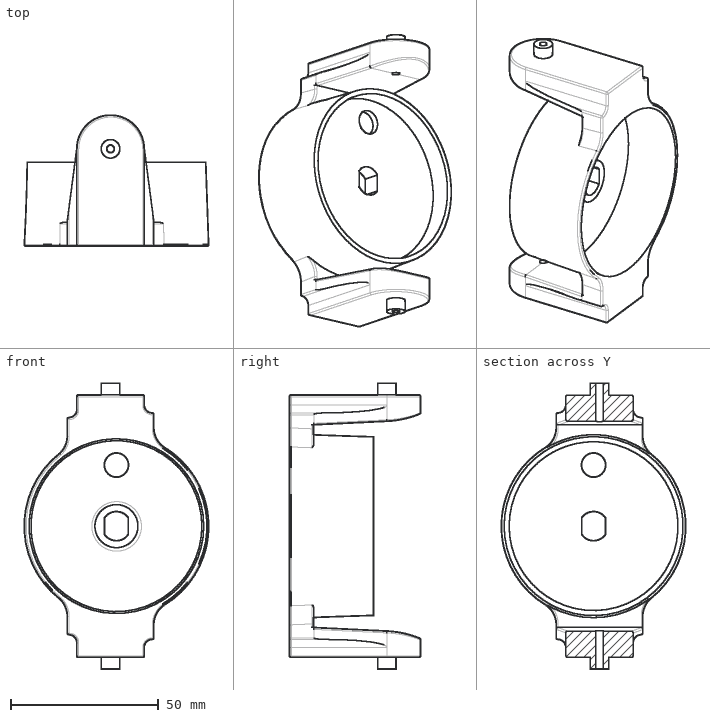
import cadquery as cq
import math

CUP_RIM_RADIUS = 31.3
CUP_DEPTH = 28.5
CUP_WALL = 1.7
CUP_FLOOR_Y = 18.5
CUP_FLOOR_THICKNESS = 2.4
DRAFT = math.tan(math.radians(2))
CUP_BACK_RADIUS = CUP_RIM_RADIUS - CUP_DEPTH * DRAFT

HUB_RADIUS = 7.3
HUB_ROOT_FILLET = 1.1
HUB_HEIGHT = 4.1
BORE_DIAMETER = 9.8
BORE_ACROSS_FLATS = 8.0
FLOOR_HOLE_DIAMETER = 8.1
FLOOR_HOLE_Z = 20.7

EDGE_RADIUS = 0.6

LUG_X = -2.0
LUG_LENGTH = 44.45
LUG_TOP_Z = 44.5
LUG_HALF_WIDTH = 11.45
LUG_LEFT = LUG_X - LUG_HALF_WIDTH
LUG_RIGHT = LUG_X + LUG_HALF_WIDTH

SHOULDER_HALF_WIDTH = 14.7
SHOULDER_LEFT = LUG_X - SHOULDER_HALF_WIDTH
SHOULDER_RIGHT = LUG_X + SHOULDER_HALF_WIDTH
LEFT_SHOULDER_Z = 36.8
RIGHT_SHOULDER_Z = 38.4
COVE_RADIUS = SHOULDER_HALF_WIDTH - LUG_HALF_WIDTH - EDGE_RADIUS

FLANGE_THICKNESS = 8.2
CUP_BLEND_RADIUS = 8.0
BLEND_SINK = 0.03

ARM_ROOT_Z = 34.3
ARM_BEND_Z = 35.5
ARM_TIP_Z = 38.1
ARM_BEND_Y = LUG_LENGTH - LUG_HALF_WIDTH
ROOT_APEX_Z = 5.0
ROOT_TOP_Z = (ARM_ROOT_Z + LEFT_SHOULDER_Z) / 2

PIN_DIAMETER = 6.3
PIN_TOP_Z = 96.84 / 2
PIN_HOLE_DIAMETER = 2.5


def xz_plane(y=0.0):
    """Workplane with local axes (X, Z); extruding by a negative length goes toward +Y."""
    return cq.Workplane("XZ", origin=(0, y, 0))


def corner_inset(radius):
    """Distance, along each axis, from a square corner to the middle of its quarter arc."""
    return radius * (1 - math.sqrt(0.5))


def with_mirror(upper):
    """The given upper solid together with its copy below the plane z = 0."""
    return upper.union(upper.mirror("XY"))


def cone_along_y(base_radius, depth):
    tip_radius = base_radius - depth * DRAFT
    profile = [(0, 0), (base_radius, 0), (tip_radius, depth), (0, depth)]
    return cq.Workplane("XY").polyline(profile).close().revolve(360, (0, 0), (0, 1))


def cup_body():
    cup = cone_along_y(CUP_RIM_RADIUS, CUP_DEPTH)
    return cup.faces("<Y").edges().fillet(EDGE_RADIUS)


def cup_cavity():
    return cone_along_y(CUP_RIM_RADIUS - CUP_WALL, CUP_FLOOR_Y)


def back_recess():
    """Space behind the cup floor, leaving the cup wall as a skirt."""
    recess_y = CUP_FLOOR_Y + CUP_FLOOR_THICKNESS
    return xz_plane(recess_y).circle(CUP_BACK_RADIUS - CUP_WALL).extrude(recess_y - CUP_DEPTH)


def hub():
    face_y = CUP_FLOOR_Y - HUB_HEIGHT
    return (
        cq.Workplane("XY")
        .moveTo(0, CUP_FLOOR_Y)
        .lineTo(HUB_RADIUS + HUB_ROOT_FILLET, CUP_FLOOR_Y)
        .radiusArc((HUB_RADIUS, CUP_FLOOR_Y - HUB_ROOT_FILLET), -HUB_ROOT_FILLET)
        .lineTo(HUB_RADIUS, face_y)
        .lineTo(0, face_y)
        .close()
        .revolve(360, (0, 0), (0, 1))
    )


def floor_openings():
    """Double-D bore through the hub and the round hole above it."""
    round_bore = xz_plane().circle(BORE_DIAMETER / 2).extrude(-CUP_DEPTH)
    flats = xz_plane().rect(BORE_ACROSS_FLATS, BORE_DIAMETER).extrude(-CUP_DEPTH)
    floor_hole = xz_plane().center(0, FLOOR_HOLE_Z).circle(FLOOR_HOLE_DIAMETER / 2).extrude(-CUP_DEPTH)
    return round_bore.intersect(flats).union(floor_hole)


def blend_points(side, cup_radius):
    """Start, middle and end of the arc joining one shoulder side to a circle round the cup axis."""
    edge = LUG_X + side * SHOULDER_HALF_WIDTH
    centre_x = edge + side * CUP_BLEND_RADIUS
    reach = cup_radius + CUP_BLEND_RADIUS
    centre_z = math.sqrt(reach**2 - centre_x**2)
    end_angle = math.atan2(centre_z, side * centre_x)
    middle = (
        centre_x - side * CUP_BLEND_RADIUS * math.cos(end_angle / 2),
        centre_z - CUP_BLEND_RADIUS * math.sin(end_angle / 2),
    )
    cup_share = cup_radius / reach
    end = (centre_x * cup_share, centre_z * cup_share)
    return (edge, centre_z), middle, end


def root_outline(plane, y):
    """Closed outline of the root at depth y, tangent to the drafted cup there."""
    cup_radius = CUP_RIM_RADIUS - y * DRAFT - BLEND_SINK
    left_start, left_middle, left_end = blend_points(-1, cup_radius)
    right_start, right_middle, right_end = blend_points(1, cup_radius)
    return (
        plane.moveTo(SHOULDER_LEFT, ROOT_TOP_Z)
        .lineTo(SHOULDER_RIGHT, ROOT_TOP_Z)
        .lineTo(*right_start)
        .threePointArc(right_middle, right_end)
        .lineTo(0, ROOT_APEX_Z)
        .lineTo(*left_end)
        .threePointArc(left_middle, left_start)
        .close()
    )


def blend_zone():
    """Selects edges centred at or above the height where the blends meet the cup."""
    left_end_z = blend_points(-1, CUP_BACK_RADIUS)[2][1]
    return cq.selectors.BoxSelector(
        (-CUP_RIM_RADIUS, -1, left_end_z), (CUP_RIM_RADIUS, LUG_LENGTH, LUG_TOP_Z + 1)
    )


def lug_root():
    back_plane = root_outline(xz_plane(), 0).workplane(offset=-FLANGE_THICKNESS)
    root = root_outline(back_plane, FLANGE_THICKNESS).loft(ruled=True)
    back_edges = root.faces(">Y").edges(blend_zone())
    return back_edges.edges("not(|X)").fillet(EDGE_RADIUS)


def lug_section(length):
    """Stepped lug section with coved, rounded shoulders, extruded from the rim plane."""
    cove = corner_inset(COVE_RADIUS)
    corner = corner_inset(EDGE_RADIUS)
    return (
        xz_plane()
        .moveTo(LUG_LEFT, LUG_TOP_Z)
        .lineTo(LUG_RIGHT, LUG_TOP_Z)
        .lineTo(LUG_RIGHT, RIGHT_SHOULDER_Z + COVE_RADIUS)
        .threePointArc(
            (LUG_RIGHT + cove, RIGHT_SHOULDER_Z + cove), (LUG_RIGHT + COVE_RADIUS, RIGHT_SHOULDER_Z)
        )
        .threePointArc(
            (SHOULDER_RIGHT - corner, RIGHT_SHOULDER_Z - corner),
            (SHOULDER_RIGHT, RIGHT_SHOULDER_Z - EDGE_RADIUS),
        )
        .lineTo(SHOULDER_RIGHT, ARM_ROOT_Z)
        .lineTo(SHOULDER_LEFT, ARM_ROOT_Z)
        .lineTo(SHOULDER_LEFT, LEFT_SHOULDER_Z - EDGE_RADIUS)
        .threePointArc(
            (SHOULDER_LEFT + corner, LEFT_SHOULDER_Z - corner), (LUG_LEFT - COVE_RADIUS, LEFT_SHOULDER_Z)
        )
        .threePointArc((LUG_LEFT - cove, LEFT_SHOULDER_Z + cove), (LUG_LEFT, LEFT_SHOULDER_Z + COVE_RADIUS))
        .close()
        .extrude(-length)
    )


def arm_side():
    """Arm profile in the YZ plane: the inner face slopes outward, then curves up to the tip."""
    return (
        cq.Workplane("YZ", origin=(LUG_X, 0, 0))
        .moveTo(FLANGE_THICKNESS, LUG_TOP_Z)
        .lineTo(FLANGE_THICKNESS, ARM_ROOT_Z)
        .lineTo(ARM_BEND_Y, ARM_BEND_Z)
        .tangentArcPoint((LUG_LENGTH, ARM_TIP_Z), relative=False)
        .lineTo(LUG_LENGTH, LUG_TOP_Z)
        .close()
        .extrude(SHOULDER_HALF_WIDTH, both=True)
    )


def tapered_arm():
    """Arm from the flange to the bend, narrowing toward the tip."""
    plan = (
        cq.Workplane("XY")
        .moveTo(SHOULDER_LEFT, FLANGE_THICKNESS)
        .lineTo(SHOULDER_RIGHT, FLANGE_THICKNESS)
        .lineTo(LUG_RIGHT, ARM_BEND_Y)
        .lineTo(LUG_LEFT, ARM_BEND_Y)
        .close()
        .extrude(LUG_TOP_Z)
    )
    wedge = plan.intersect(arm_side())
    wedge = wedge.faces("<Z").edges("not(|X)").fillet(EDGE_RADIUS)
    return wedge.intersect(lug_section(LUG_LENGTH))


def arm_tip():
    """Half-round end of the arm beyond the bend."""
    plan = (
        cq.Workplane("XY")
        .moveTo(LUG_RIGHT, ARM_BEND_Y)
        .threePointArc((LUG_X, LUG_LENGTH), (LUG_LEFT, ARM_BEND_Y))
        .close()
        .extrude(LUG_TOP_Z)
    )
    tip = plan.intersect(arm_side())
    return tip.faces("<Z").edges("not(|X)").fillet(EDGE_RADIUS)


def lug():
    solid = lug_root().union(lug_section(FLANGE_THICKNESS)).union(tapered_arm()).union(arm_tip())
    solid = solid.faces(">Z").edges("not(<Y)").fillet(EDGE_RADIUS)
    return solid.faces("<Y").edges(blend_zone()).fillet(EDGE_RADIUS)


def pin_cylinder(diameter, bottom_z):
    plane = cq.Workplane("XY", origin=(LUG_X, ARM_BEND_Y, bottom_z))
    return plane.circle(diameter / 2).extrude(PIN_TOP_Z - bottom_z)


body = cup_body().union(with_mirror(lug()))
body = body.cut(cup_cavity()).cut(back_recess())
body = body.union(hub()).cut(floor_openings())
body = body.union(with_mirror(pin_cylinder(PIN_DIAMETER, ARM_TIP_Z)))
result = body.cut(with_mirror(pin_cylinder(PIN_HOLE_DIAMETER, 0)))